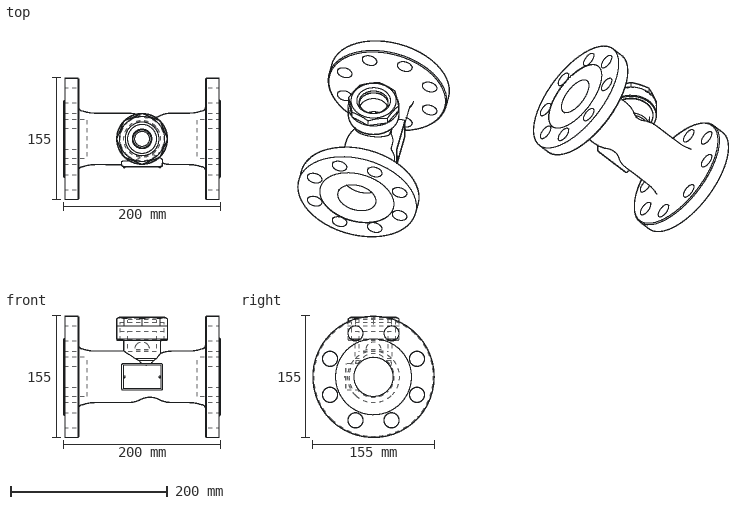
import cadquery as cq
import math

half_length = 100.0
flange_radius = 155.0 / 2
flange_back = 80.5
flange_edge_chamfer = 1.5
raised_face_radius = 48.5
raised_face_height = 1.5
tube_radius = 66.0 / 2
hub_start = 60.2
hub_end = 76.0
hub_end_radius = 35.8
flange_fillet_radius = 4.5
pipe_bore_radius = 50.0 / 2
pipe_bore_depth = 30.0

bolt_hole_diameter = 19.0
bolt_hole_count = 8
bolt_circle_radius = 60.0

waist_center = 10.0
waist_shoulder_offset = 27.5
waist_inflection_offset = 12.0
waist_inflection_radius = 29.2
waist_radius = 26.2

neck_radius = 47.0 / 2
neck_bore_radius = 37.0 / 2
neck_bore_floor = 32.0
neck_taper_top = 23.5
neck_throat_height = 20.5
neck_throat_radius = 22.2
neck_foot_height = 17.5
neck_foot_radius = 22.8
neck_fillet_radius = 4.0
spigot_radius = 56.0 / 2
spigot_bottom = 47.8
spigot_top = 58.0

seat_radius = 25.0 / 2
seat_height = 1.0
seat_cone_radius = 23.0 / 2
seat_cone_height = 2.0
dome_radius = 19.0 / 2

pad_length = 52.0
pad_height = 34.0
pad_face = 35.0
pad_depth = 18.0
pad_corner_radius = 2.0
pad_face_fillet = 1.5
plate_length = 48.0
plate_height = 30.0
plate_thickness = 0.5
rivet_radius = 1.2
rivet_end_offset = 1.2

nut_radius = 65.0 / 2
nut_bottom = 46.5
nut_shoulder = 64.8
nut_top = 76.2
nut_sides = 8
nut_face_radius = 28.8
nut_chamfer_angle = 30.0
nut_bottom_chamfer_height = 1.5
nut_bottom_chamfer_width = 0.5
nut_lip_bottom = 69.2
nut_window_radius = neck_bore_radius
nut_window_chamfer = 3.0


def cylinder_z(radius, bottom, top):
    """Solid cylinder on the Z axis between two heights."""
    return cq.Workplane("XY").workplane(offset=bottom).circle(radius).extrude(top - bottom)


def point_on_arc(center, radius, angle):
    """Point at an angle in degrees on a circle."""
    return (
        center[0] + radius * math.cos(math.radians(angle)),
        center[1] + radius * math.sin(math.radians(angle)),
    )


def hub_arc_middle():
    """Middle point of the hub arc, which leaves the tube tangentially at hub_start."""
    run = hub_end - hub_start
    rise = hub_end_radius - tube_radius
    arc_radius = (run**2 + rise**2) / (2 * rise)
    sweep = math.degrees(math.asin(run / arc_radius))
    return point_on_arc((hub_start, tube_radius + arc_radius), arc_radius, sweep / 2 - 90)


def make_pipe():
    """Flanges, hubs, tubes and waist turned around the X axis."""
    face_root = half_length - raised_face_height
    face_foot_radius = raised_face_radius + raised_face_height
    face_fillet_middle = point_on_arc((half_length, face_foot_radius), raised_face_height, 225)
    flange_foot_radius = hub_end_radius + flange_fillet_radius
    flange_fillet_middle = point_on_arc(
        (flange_back - flange_fillet_radius, flange_foot_radius), flange_fillet_radius, -45
    )
    hub_middle = hub_arc_middle()

    shoulder_left = (waist_center - waist_shoulder_offset, tube_radius)
    inflection_left = (waist_center - waist_inflection_offset, waist_inflection_radius)
    inflection_right = (waist_center + waist_inflection_offset, waist_inflection_radius)
    shoulder_right = (waist_center + waist_shoulder_offset, tube_radius)

    profile = (
        cq.Workplane("XY")
        .moveTo(-half_length, 0)
        .lineTo(-half_length, raised_face_radius)
        .threePointArc((-face_fillet_middle[0], face_fillet_middle[1]), (-face_root, face_foot_radius))
        .lineTo(-face_root, flange_radius)
        .lineTo(-flange_back - flange_edge_chamfer, flange_radius)
        .lineTo(-flange_back, flange_radius - flange_edge_chamfer)
        .lineTo(-flange_back, flange_foot_radius)
        .threePointArc((-flange_fillet_middle[0], flange_fillet_middle[1]), (-hub_end, hub_end_radius))
        .threePointArc((-hub_middle[0], hub_middle[1]), (-hub_start, tube_radius))
        .lineTo(*shoulder_left)
        .tangentArcPoint(inflection_left, relative=False)
        .threePointArc((waist_center, waist_radius), inflection_right)
        .tangentArcPoint(shoulder_right, relative=False)
        .lineTo(hub_start, tube_radius)
        .threePointArc(hub_middle, (hub_end, hub_end_radius))
        .threePointArc(flange_fillet_middle, (flange_back, flange_foot_radius))
        .lineTo(flange_back, flange_radius - flange_edge_chamfer)
        .lineTo(flange_back + flange_edge_chamfer, flange_radius)
        .lineTo(face_root, flange_radius)
        .lineTo(face_root, face_foot_radius)
        .threePointArc(face_fillet_middle, (half_length, raised_face_radius))
        .lineTo(half_length, 0)
        .close()
    )
    return profile.revolve(360, (0, 0, 0), (1, 0, 0))


def make_neck():
    """Neck turned around Z, from the pipe axis up to the spigot inside the nut."""
    fillet_start = spigot_bottom - neck_fillet_radius
    fillet_end_radius = neck_radius + neck_fillet_radius
    fillet_middle = point_on_arc((fillet_end_radius, fillet_start), neck_fillet_radius, 135)
    profile = (
        cq.Workplane("XZ")
        .lineTo(neck_foot_radius, 0)
        .lineTo(neck_foot_radius, neck_foot_height)
        .lineTo(neck_throat_radius, neck_throat_height)
        .lineTo(neck_radius, neck_taper_top)
        .lineTo(neck_radius, fillet_start)
        .threePointArc(fillet_middle, (fillet_end_radius, spigot_bottom))
        .lineTo(spigot_radius, spigot_bottom)
        .lineTo(spigot_radius, spigot_top)
        .lineTo(0, spigot_top)
        .close()
    )
    return profile.revolve(360, (0, 0, 0), (0, 1, 0))


def make_pad():
    """Rounded pad carrying a thin name plate with a round rivet head at each end."""
    pad = (
        cq.Workplane("XY")
        .box(pad_length, pad_depth, pad_height)
        .edges("|Y")
        .fillet(pad_corner_radius)
        .faces("<Y")
        .edges()
        .fillet(pad_face_fillet)
        .translate((0, pad_depth / 2 - pad_face, 0))
    )
    plate_face = pad_face + plate_thickness
    plate = (
        cq.Workplane("XZ", origin=(0, -pad_face, 0))
        .rect(plate_length, plate_height)
        .extrude(plate_thickness)
    )
    pad = pad.union(plate)
    rivet_x = plate_length / 2 - rivet_end_offset
    for x in (-rivet_x, rivet_x):
        pad = pad.union(cq.Workplane("XY").sphere(rivet_radius).translate((x, -plate_face, 0)))
    return pad


def make_seat():
    """Stepped seat with a hemispherical top, standing on the floor of the neck bore."""
    cone_bottom = neck_bore_floor + seat_height
    dome_center = cone_bottom + seat_cone_height
    profile = (
        cq.Workplane("XZ")
        .moveTo(0, neck_bore_floor - seat_height)
        .lineTo(seat_radius, neck_bore_floor - seat_height)
        .lineTo(seat_radius, cone_bottom)
        .lineTo(seat_cone_radius, cone_bottom)
        .lineTo(dome_radius, dome_center)
        .threePointArc(
            point_on_arc((0, dome_center), dome_radius, 45), (0, dome_center + dome_radius)
        )
        .close()
    )
    return profile.revolve(360, (0, 0, 0), (0, 1, 0))


def make_bolt_holes(start):
    """Bolt holes through one flange, straddling the vertical center line."""
    half_pitch = 180.0 / bolt_hole_count
    return (
        cq.Workplane("YZ", origin=(start, 0, 0))
        .polarArray(bolt_circle_radius, half_pitch, 360, bolt_hole_count)
        .circle(bolt_hole_diameter / 2)
        .extrude(half_length - flange_back)
    )


def make_body():
    body = make_pipe().union(make_neck()).union(make_pad())
    for start in (-half_length, flange_back):
        body = body.cut(make_bolt_holes(start))
    for start in (-half_length, half_length - pipe_bore_depth):
        pipe_bore = (
            cq.Workplane("YZ", origin=(start, 0, 0)).circle(pipe_bore_radius).extrude(pipe_bore_depth)
        )
        body = body.cut(pipe_bore)
    body = body.cut(cylinder_z(neck_bore_radius, neck_bore_floor, spigot_top))
    return body.union(make_seat())


def make_nut():
    """Union nut: octagon over a round skirt, with a chamfered window in its top."""
    octagon = (
        cq.Workplane("XY")
        .workplane(offset=nut_shoulder)
        .polygon(nut_sides, 2 * nut_radius)
        .extrude(nut_top - nut_shoulder)
    )
    corner_drop = (nut_radius - nut_face_radius) * math.tan(math.radians(nut_chamfer_angle))
    envelope = (
        cq.Workplane("XZ")
        .moveTo(0, nut_bottom)
        .lineTo(nut_radius - nut_bottom_chamfer_width, nut_bottom)
        .lineTo(nut_radius, nut_bottom + nut_bottom_chamfer_height)
        .lineTo(nut_radius, nut_top - corner_drop)
        .lineTo(nut_face_radius, nut_top)
        .lineTo(0, nut_top)
        .close()
        .revolve(360, (0, 0, 0), (0, 1, 0))
    )
    skirt = cylinder_z(nut_radius, nut_bottom, nut_shoulder)
    nut = skirt.union(octagon).intersect(envelope)

    window = (
        cq.Workplane("XZ")
        .moveTo(0, nut_lip_bottom)
        .lineTo(nut_window_radius, nut_lip_bottom)
        .lineTo(nut_window_radius, nut_top - nut_window_chamfer)
        .lineTo(nut_window_radius + nut_window_chamfer, nut_top)
        .lineTo(0, nut_top)
        .close()
        .revolve(360, (0, 0, 0), (0, 1, 0))
    )
    return nut.cut(cylinder_z(spigot_radius, nut_bottom, nut_lip_bottom)).cut(window)


body = make_body()
nut = make_nut()
result = cq.Compound.makeCompound([body.solids().val(), nut.solids().val()])